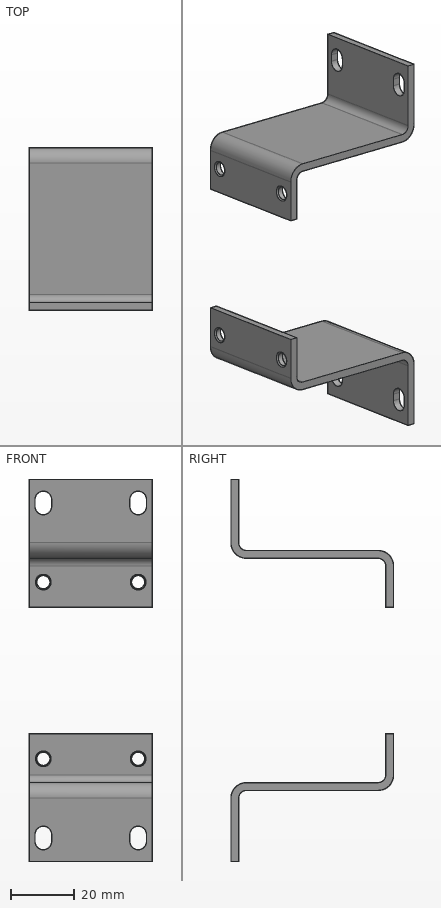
import cadquery as cq

overall_height = 121.0
width = 39.0
depth = 51.5
thickness = 2.5
outer_bend_radius = 5.0
front_leg = 25.0
rear_leg = 18.0
hole_pitch = 30.0
slot_width = 5.2
slot_length = 7.4
slot_edge_distance = 7.5
hole_diameter = 4.1
hole_mouth_diameter = 5.0
hole_edge_distance = 8.0

inner_bend_radius = outer_bend_radius - thickness
front_face = -depth / 2
rear_face = depth / 2
rear_leg_front = rear_face - thickness
bracket_top = overall_height / 2
web_bottom = bracket_top - front_leg
web_top = web_bottom + thickness
bracket_bottom = web_top - rear_leg
hole_chamfer = (hole_mouth_diameter - hole_diameter) / 2


def bent_plate():
    """Z-shaped sheet: front leg up, flat web, rear leg down."""
    plate = (
        cq.Workplane("YZ")
        .moveTo(front_face, bracket_top)
        .lineTo(front_face, web_bottom)
        .lineTo(rear_leg_front, web_bottom)
        .lineTo(rear_leg_front, bracket_bottom)
        .lineTo(rear_face, bracket_bottom)
        .lineTo(rear_face, web_top)
        .lineTo(front_face + thickness, web_top)
        .lineTo(front_face + thickness, bracket_top)
        .close()
        .extrude(width / 2, both=True)
    )
    corners = [
        (front_face, web_bottom, outer_bend_radius),
        (front_face + thickness, web_top, inner_bend_radius),
        (rear_leg_front, web_bottom, inner_bend_radius),
        (rear_face, web_top, outer_bend_radius),
    ]
    for y, z, radius in corners:
        bend_edge = cq.selectors.NearestToPointSelector((0, y, z))
        plate = plate.edges("|X").edges(bend_edge).fillet(radius)
    return plate


def slot_cutter(x):
    """Upright slot through the front leg."""
    return (
        cq.Workplane("XZ", origin=(x, front_face, bracket_top - slot_edge_distance))
        .slot2D(slot_length, slot_width, 90)
        .extrude(-thickness)
    )


def hole_cutter(x):
    """Round hole through the rear leg, chamfered at both mouths."""
    profile = (
        cq.Workplane("XY", origin=(x, 0, bracket_bottom + hole_edge_distance))
        .moveTo(0, rear_leg_front)
        .lineTo(hole_mouth_diameter / 2, rear_leg_front)
        .lineTo(hole_diameter / 2, rear_leg_front + hole_chamfer)
        .lineTo(hole_diameter / 2, rear_face - hole_chamfer)
        .lineTo(hole_mouth_diameter / 2, rear_face)
        .lineTo(0, rear_face)
        .close()
    )
    return profile.revolve(360, (0, 0), (0, 1))


def bracket():
    """Upper bracket with a pair of slots and a pair of chamfered holes."""
    body = bent_plate()
    for x in (-hole_pitch / 2, hole_pitch / 2):
        body = body.cut(slot_cutter(x))
        body = body.cut(hole_cutter(x))
    return body


upper_bracket = bracket()
lower_bracket = bracket().mirror("XY")

result = cq.Compound.makeCompound([upper_bracket.val(), lower_bracket.val()])